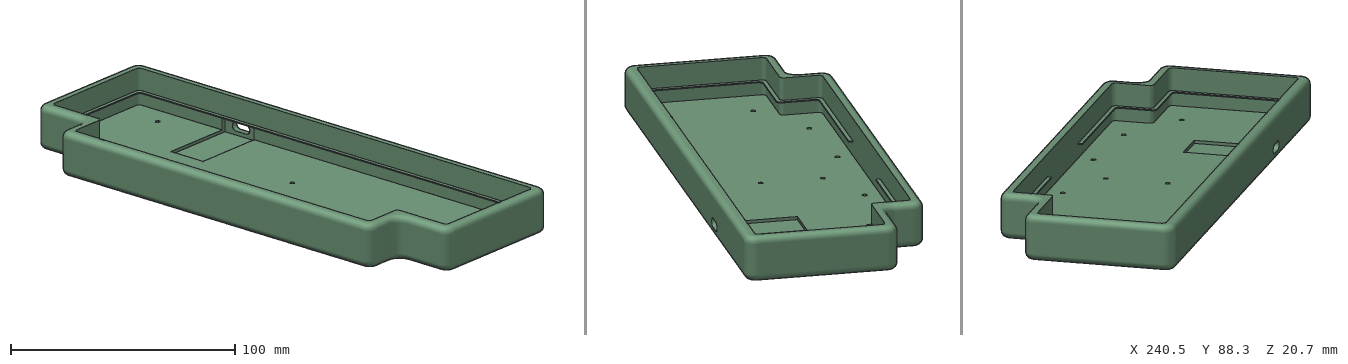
import cadquery as cq
length = 240.5
depth = 88.3
height = 20.7
front_width = 182.9
left_notch_depth = 18.5
right_notch_depth = 19.0
corner_radius = 5.0
edge_radius = 3.0

wall = 5.0
inner_corner_radius = 2.0
floor_thickness = 3.1
ledge_drop = 10.5
lip_width = 2.0
lip_thickness = 0.5
lip_gap_width = 52.7

pocket_width = 18.8
pocket_center_x = -57.0
pocket_front_y = 3.8
pocket_sink = 1.5
pocket_wall_recess = 2.0
port_width = 10.0
port_height = 4.3
port_center_z = 5.8

key_pitch = 19.0
hole_diameter = 2.0
front_hole_diameter = 2.2
rear_row_y = 28.5
front_hole_y = -32.0

half_depth = depth / 2
ledge_z = height - ledge_drop
lip_bottom_z = ledge_z - lip_thickness
rear_wall_y = half_depth - wall
front_wall_y = -half_depth + wall


def tray_prism(inset, radius, bottom_z, top_z):
    """Upright prism of the tray outline moved inward by inset, with rounded corners."""
    side = length / 2 - inset
    front_side = front_width / 2 - inset
    rear = half_depth - inset
    front = -half_depth + inset
    left_step = -half_depth + left_notch_depth + inset
    right_step = -half_depth + right_notch_depth + inset
    outline = [
        (-side, rear),
        (side, rear),
        (side, right_step),
        (front_side, right_step),
        (front_side, front),
        (-front_side, front),
        (-front_side, left_step),
        (-side, left_step),
    ]
    prism = cq.Workplane("XY", origin=(0, 0, bottom_z)).polyline(outline).close()
    return prism.extrude(top_z - bottom_z).edges("|Z").fillet(radius)


def block(x_min, x_max, y_min, y_max, z_min, z_max):
    """Axis-aligned box between the given limits."""
    size = (x_max - x_min, y_max - y_min, z_max - z_min)
    return cq.Workplane("XY").box(*size, centered=False).translate((x_min, y_min, z_min))


def tray_body():
    """Outer block with its rim and base edges rounded."""
    body = tray_prism(0, corner_radius, 0, height)
    return body.faces("<Z or >Z").edges().fillet(edge_radius)


def interior():
    """Straight-walled cavity, open at the top."""
    return tray_prism(wall, inner_corner_radius, floor_thickness, height)


def lip():
    """Thin ledge running around the cavity walls, interrupted in the middle of the front."""
    plate = tray_prism(wall, inner_corner_radius, lip_bottom_z, ledge_z)
    opening = tray_prism(wall + lip_width, inner_corner_radius, lip_bottom_z, ledge_z)
    gap = block(
        -lip_gap_width / 2, lip_gap_width / 2,
        front_wall_y, front_wall_y + 2 * lip_width,
        lip_bottom_z, ledge_z,
    )
    return plate.cut(opening).cut(gap)


def connector_pocket():
    """Sunk floor pocket that continues into the rear wall below the lip."""
    return block(
        pocket_center_x - pocket_width / 2, pocket_center_x + pocket_width / 2,
        pocket_front_y, rear_wall_y + pocket_wall_recess,
        floor_thickness - pocket_sink, lip_bottom_z,
    )


def connector_port():
    """Round-ended opening through the rear wall."""
    plane = cq.Workplane("XZ", origin=(pocket_center_x, half_depth, port_center_z))
    return plane.slot2D(port_width, port_height).extrude(wall)


def screw_holes():
    """Through holes in the floor."""
    grid_steps = [
        (-5, 0), (5, 0),
        (0, 1),
        (-5, 2), (5, 2),
        (0, 2.5),
        (-3.5, 3), (3.5, 3),
    ]
    grid_points = [(x * key_pitch, rear_row_y - y * key_pitch) for x, y in grid_steps]
    front_points = [(sign * lip_gap_width / 2, front_hole_y) for sign in (-1, 1)]
    plane = cq.Workplane("XY")
    grid_holes = plane.pushPoints(grid_points).circle(hole_diameter / 2).extrude(floor_thickness)
    front_holes = plane.pushPoints(front_points).circle(front_hole_diameter / 2).extrude(floor_thickness)
    return grid_holes.union(front_holes)


result = (
    tray_body()
    .cut(interior())
    .union(lip())
    .cut(connector_pocket())
    .cut(connector_port())
    .cut(screw_holes())
)